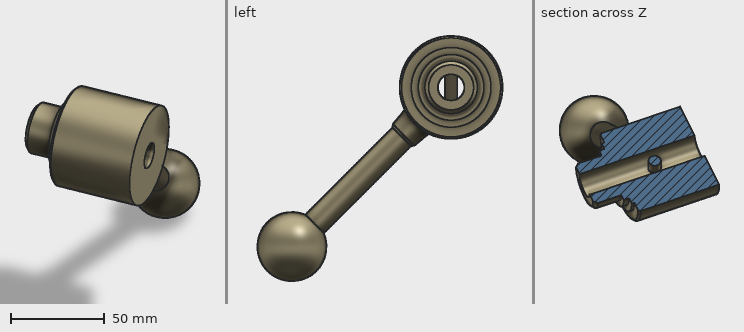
import cadquery as cq

TOTAL_LENGTH = 66.5
NOSE_DIAMETER = 28.0
NOSE_END = 15.5
NOSE_CHAMFER = 2.0
SHOULDER_DIAMETER = 35.0
SHOULDER_END = 18.5
FLANGE_DIAMETER = 42.5
FLANGE_END = 20.0
BODY_DIAMETER = 55.0
BODY_CHAMFER = 1.1
BORE_DIAMETER = 14.0

LEVER_X = 40.5
LEVER_TILT = 45.0
ROD_DIAMETER = 14.0
COLLAR_ROOT_DISTANCE = 26.0
COLLAR_ROOT_DIAMETER = 18.2
COLLAR_TIP_DISTANCE = 37.3
COLLAR_TIP_DIAMETER = 16.4
COLLAR_CHAMFER_LENGTH = 1.5
BALL_DIAMETER = 37.0
BALL_DISTANCE = 120.0

PIN_DIAMETER = 6.76
PIN_EMBEDMENT = 2.0


def step(start, end, diameter):
    """Cylinder on the X axis between two stations."""
    return cq.Workplane("YZ", origin=(start, 0, 0)).circle(diameter / 2).extrude(end - start)


def make_hub():
    """Stepped hub with chamfered nose and body edges, before boring."""
    nose = step(0, NOSE_END, NOSE_DIAMETER).faces("<X").chamfer(NOSE_CHAMFER)
    shoulder = step(NOSE_END, SHOULDER_END, SHOULDER_DIAMETER)
    flange = step(SHOULDER_END, FLANGE_END, FLANGE_DIAMETER)
    body = step(FLANGE_END, TOTAL_LENGTH, BODY_DIAMETER).faces("<X").chamfer(BODY_CHAMFER)
    return nose.union(shoulder).union(flange).union(body)


def make_collar():
    """Tapered collar hanging below the hub axis, chamfered down to the rod at its tip."""
    rod_radius = ROD_DIAMETER / 2
    root_radius = COLLAR_ROOT_DIAMETER / 2
    tip_radius = COLLAR_TIP_DIAMETER / 2
    half_profile = (
        cq.Workplane("XZ")
        .moveTo(0, 0)
        .lineTo(root_radius, 0)
        .lineTo(root_radius, -COLLAR_ROOT_DISTANCE)
        .lineTo(tip_radius, COLLAR_CHAMFER_LENGTH - COLLAR_TIP_DISTANCE)
        .lineTo(rod_radius, -COLLAR_TIP_DISTANCE)
        .lineTo(0, -COLLAR_TIP_DISTANCE)
        .close()
    )
    return half_profile.revolve(360, (0, 0, 0), (0, 1, 0))


def make_lever():
    """Collar, rod and ball built pointing down from the hub axis, then tilted toward +Y."""
    rod = cq.Workplane("XY").circle(ROD_DIAMETER / 2).extrude(-BALL_DISTANCE)
    ball = cq.Workplane("XY").sphere(BALL_DIAMETER / 2).translate((0, 0, -BALL_DISTANCE))
    lever = make_collar().union(rod).union(ball)
    return lever.rotate((0, 0, 0), (1, 0, 0), LEVER_TILT).translate((LEVER_X, 0, 0))


def make_pin():
    """Vertical pin crossing the bore, its ends embedded in the bore wall."""
    pin_length = BORE_DIAMETER + 2 * PIN_EMBEDMENT
    pin_base = cq.Workplane("XY", origin=(LEVER_X, 0, -pin_length / 2))
    return pin_base.circle(PIN_DIAMETER / 2).extrude(pin_length)


bore = step(0, TOTAL_LENGTH, BORE_DIAMETER)
result = make_hub().union(make_lever()).cut(bore).union(make_pin())